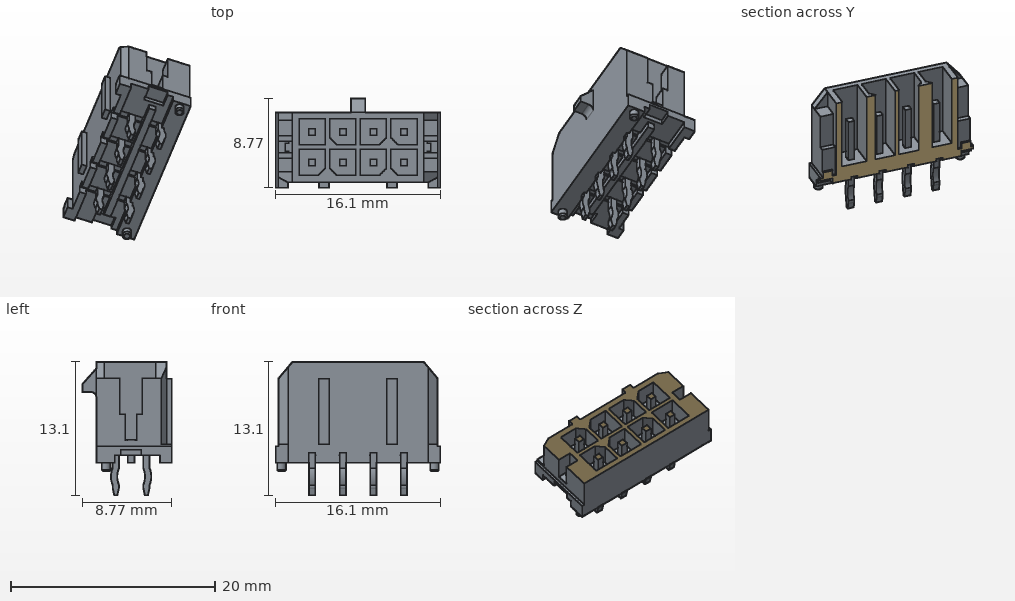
import cadquery as cq

pitch = 3.0
columns = 4
column_x = [(i - (columns - 1) / 2) * pitch for i in range(columns)]
row_y = [pitch / 2, -pitch / 2]

top_z = 9.91
core_half_x = 6.43
body_half_x = 7.81
pillar_top_z = 8.27
back_y = 3.41
front_y = -3.47
corner_x = 6.86
corner_y = -2.96
end_shoulder_front_y = -2.44
end_shoulder_back_y = 2.62

wide_channel_width = 2.2
wide_channel_z = 4.75
narrow_channel_width = 1.15
narrow_channel_z = 2.25
pit_x = 6.8
pit_notch_x = 7.13
pit_notch_width = 0.78
pit_depth = 0.6

flange_half_x = 8.075
flange_top_z = 1.63
foot_top_z = 1.83
foot_front_y = -3.99
relief_front_y = -2.81
relief_back_y = 1.58
relief_z = 0.73
end_recess_width = 2.0
end_recess_z = 1.3
center_rib_width = 0.69
contact_slot_z = 1.0

cavity_size = 2.56
key_chamfer = 0.7
cavity_floor_z = 2.5

contact_size = 0.64
contact_top_z = 6.9
bend_top_z = -0.51
bend_mid_z = -1.34
bend_bottom_z = -2.17
taper_z = -2.45
tail_z = -3.18
bend_bulge = 0.17
tip_width = 0.32

rib_width = 1.01
rib_x = 3.335
rib_top_z = 8.26
latch_width = 1.43
latch_y = 4.78
latch_ramp_top_z = 9.26
latch_ramp_bottom_z = 7.72
latch_bottom_z = 6.94
latch_fillet = 0.54
peg_x = 7.49
peg_y = 2.44
peg_diameter = 0.88
peg_length = 0.835
peg_chamfer = 0.16


def block(x_range, y_range, z_range):
    """Box spanning the given (low, high) ranges."""
    size = [high - low for low, high in (x_range, y_range, z_range)]
    corner = (x_range[0], y_range[0], z_range[0])
    return cq.Workplane("XY").box(*size, centered=False).translate(corner)


def centered_range(width, middle=0.0):
    return (middle - width / 2, middle + width / 2)


def both_ends(shape):
    """The shape at the +X end joined with its mirror image at the -X end."""
    return shape.union(shape.mirror("YZ"))


def body():
    depth = back_y - front_y
    outline = (
        cq.Workplane("XZ", origin=(0, back_y, 0))
        .moveTo(-body_half_x, 0)
        .lineTo(-body_half_x, pillar_top_z)
        .lineTo(-core_half_x, top_z)
        .lineTo(core_half_x, top_z)
        .lineTo(body_half_x, pillar_top_z)
        .lineTo(body_half_x, 0)
        .close()
        .extrude(depth)
    )
    corner = (
        cq.Workplane("XY")
        .polyline([(corner_x, front_y), (body_half_x, front_y), (body_half_x, corner_y)])
        .close()
        .extrude(top_z)
    )
    return outline.cut(both_ends(corner))


def end_channel():
    """Everything removed from the +X end: shoulder, stepped channel and pit."""
    end_x = (core_half_x, body_half_x)
    shoulder = block(end_x, (end_shoulder_front_y, end_shoulder_back_y), (pillar_top_z, top_z))
    wide = block(end_x, centered_range(wide_channel_width), (wide_channel_z, top_z))
    narrow = block(end_x, centered_range(narrow_channel_width), (narrow_channel_z, top_z))
    pit_z = (narrow_channel_z - pit_depth, narrow_channel_z)
    pit = block((core_half_x, pit_x), centered_range(narrow_channel_width), pit_z)
    notch = block((core_half_x, pit_notch_x), centered_range(pit_notch_width), pit_z)
    return shoulder.union(wide).union(narrow).union(pit).union(notch)


def end_base():
    """Flange lip and front foot at the +X end."""
    lip = block((body_half_x, flange_half_x), (foot_front_y, back_y), (0, flange_top_z))
    foot = block((corner_x, body_half_x), (foot_front_y, corner_y), (0, foot_top_z))
    return lip.union(foot)


def underside_cut():
    relief = block((-flange_half_x, flange_half_x), (relief_front_y, relief_back_y), (0, relief_z))
    recess = block((pit_x, flange_half_x), centered_range(end_recess_width), (0, end_recess_z))
    cut = relief.union(both_ends(recess))
    slot_back_y = row_y[0] + contact_size / 2
    for x in column_x:
        slot = block(centered_range(contact_size, x), (front_y, slot_back_y), (0, contact_slot_z))
        cut = cut.union(slot)
    return cut


def cavity(x, y, key_side):
    """Contact cavity; key_side is -1 or +1 for the chamfered front corner, 0 for none."""
    shape = (
        cq.Workplane("XY", origin=(x, y, cavity_floor_z))
        .rect(cavity_size, cavity_size)
        .extrude(top_z - cavity_floor_z)
    )
    if key_side == 0:
        return shape
    side = "<X" if key_side < 0 else ">X"
    return shape.edges("|Z").edges(side).edges("<Y").chamfer(key_chamfer)


def contact(x, y):
    """Square contact with a tail that bows away from the middle of the part."""
    outward = 1 if y > 0 else -1
    half = contact_size / 2

    def at(offset, z):
        return (y + outward * offset, z)

    return (
        cq.Workplane("YZ", origin=(x - half, 0, 0))
        .moveTo(*at(half, contact_top_z))
        .lineTo(*at(half, bend_top_z))
        .threePointArc(at(half + bend_bulge, bend_mid_z), at(half, bend_bottom_z))
        .lineTo(*at(half, taper_z))
        .lineTo(*at(tip_width / 2, tail_z))
        .lineTo(*at(-tip_width / 2, tail_z))
        .lineTo(*at(-half, taper_z))
        .lineTo(*at(-half, bend_bottom_z))
        .threePointArc(at(-half + bend_bulge, bend_mid_z), at(-half, bend_top_z))
        .lineTo(*at(-half, contact_top_z))
        .close()
        .extrude(contact_size)
    )


def front_rib(x):
    return block(centered_range(rib_width, x), (foot_front_y, front_y), (foot_top_z, rib_top_z))


def latch():
    tangent = (back_y, latch_bottom_z - latch_fillet)
    return (
        cq.Workplane("YZ", origin=(-latch_width / 2, 0, 0))
        .moveTo(back_y, latch_ramp_top_z)
        .lineTo(latch_y, latch_ramp_bottom_z)
        .lineTo(latch_y, latch_bottom_z)
        .lineTo(back_y + latch_fillet, latch_bottom_z)
        .radiusArc(tangent, -latch_fillet)
        .close()
        .extrude(latch_width)
    )


def peg():
    """Locating peg under the +X end."""
    return (
        cq.Workplane("XY", origin=(peg_x, peg_y, 0))
        .circle(peg_diameter / 2)
        .extrude(-peg_length)
        .faces("<Z")
        .chamfer(peg_chamfer)
    )


key_sides = [[0, -1, 1, -1], [1, -1, 1, -1]]

center_rib = block(
    (-core_half_x, core_half_x), centered_range(center_rib_width), (0, contact_slot_z)
)

result = body().cut(both_ends(end_channel())).union(both_ends(end_base()))
result = result.cut(underside_cut()).union(center_rib)
for y, row_keys in zip(row_y, key_sides):
    for x, key_side in zip(column_x, row_keys):
        result = result.cut(cavity(x, y, key_side)).union(contact(x, y))
for x in (-rib_x, rib_x):
    result = result.union(front_rib(x))
result = result.union(latch()).union(both_ends(peg()))